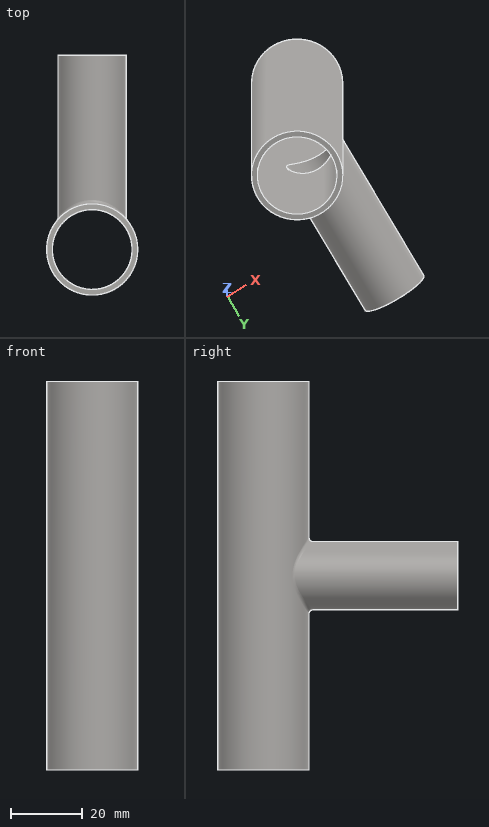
import cadquery as cq

run_diameter = 25.4
branch_diameter = 19.05
wall = 1.65
run_length = 108.0
branch_reach = run_length / 2
weld_fillet = 1.0


def run_cylinder(diameter):
    """Full-length cylinder on the run axis, centred on the branch axis."""
    return cq.Workplane("XY").circle(diameter / 2).extrude(run_length / 2, both=True)


def branch_cylinder(diameter):
    """Cylinder from the run axis to the open end of the branch."""
    return cq.Workplane("XZ").circle(diameter / 2).extrude(-branch_reach)


def outer_body():
    """Solid tee with the curve between the two tubes filleted."""
    body = run_cylinder(run_diameter).union(branch_cylinder(branch_diameter))
    margin = 1.0
    half_width = branch_diameter / 2 + margin
    junction = cq.selectors.BoxSelector(
        (-half_width, margin, -half_width),
        (half_width, run_diameter / 2 + margin, half_width),
        boundingbox=True,
    )
    return body.edges(junction).fillet(weld_fillet)


def bores():
    """Connected bores of the two tubes."""
    run_bore = run_cylinder(run_diameter - 2 * wall)
    branch_bore = branch_cylinder(branch_diameter - 2 * wall)
    return run_bore.union(branch_bore)


result = outer_body().cut(bores())